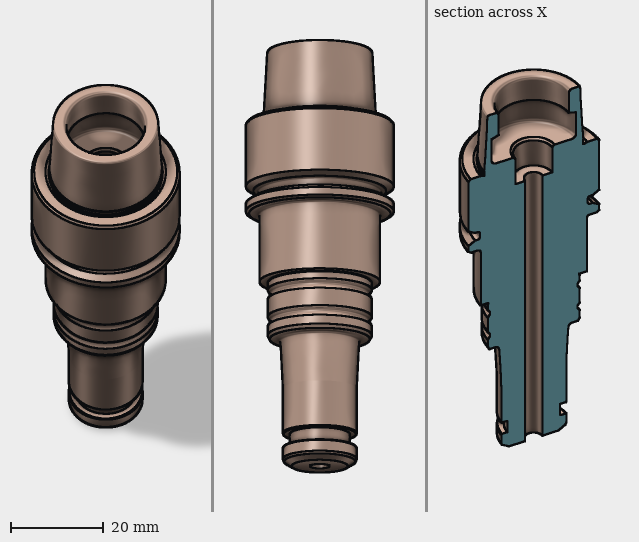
import cadquery as cq
import math

total_height = 92.0
nose_cone_top = 1.0
nose_bevel_top = 1.6
clip_groove_bottom = 4.1
clip_groove_top = 7.1
taper_neck_bottom = 17.1
seal_body_bottom = 28.15
seal_body_top = 40.85
rim_bottom = 56.5
rim_top = 58.1
collar_bottom = 62.0
collar_top = 76.2
shank_taper_bottom = 77.1

nose_tip_diameter = 12.1
stem_diameter = 16.0
clip_groove_diameter = 13.0
neck_top_diameter = 17.0
seal_body_diameter = 22.5
barrel_diameter = 26.0
v_groove_diameter = 26.5
v_flank_foot_diameter = 28.7
collar_diameter = 32.0
shank_base_diameter = 24.1
shank_taper_base_diameter = 24.4
shank_top_diameter = 22.8

nose_bevel_width = 0.3
clip_groove_edge_break = 0.2
neck_fillet = 0.8
seal_lower_chamfer_width = 0.5
seal_lower_chamfer_height = 0.8
seal_upper_chamfer = 0.3
v_flank_angle = 30.0
v_root_fillet = 0.5
rim_lower_chamfer_width = 0.7
rim_lower_chamfer_height = 0.5
rim_fillet = 0.6
collar_chamfer = 0.55
shank_top_round = 0.55
shank_base_step_height = 0.4

seal_groove_heights = [32.0, 38.0]
seal_groove_width = 2.1
seal_groove_depth = 0.55
seal_groove_flank_width = 0.5
seal_groove_flank_depth = 0.3

face_recess_diameter = 26.0
face_recess_floor_diameter = 24.7
face_recess_depth = 0.3

bore_diameter = 17.0
bore_lip_round = 1.0
bore_entry_depth = 6.35
undercut_diameter = 20.5
undercut_lead = 0.55
bore_depth = 13.7
bore_floor_fillet = 1.0
tube_seat_diameter = 8.9
tube_seat_chamfer_diameter = 10.0
tube_seat_depth = 7.4
through_hole_diameter = 4.2


def revolve(profile):
    """Revolve a closed (radius, height) profile about the Z axis."""
    return profile.close().revolve(360, (0, 0, 0), (0, 1, 0))


def outer_body():
    stem = stem_diameter / 2
    neck = neck_top_diameter / 2
    seal = seal_body_diameter / 2
    barrel = barrel_diameter / 2
    collar = collar_diameter / 2
    v_root = v_groove_diameter / 2
    shank_top = shank_top_diameter / 2
    v_flank_foot = v_flank_foot_diameter / 2
    v_flank_height = (collar - v_flank_foot) * math.tan(math.radians(v_flank_angle))
    v_lower_wall = rim_top + v_flank_height
    v_upper_wall = collar_bottom - v_flank_height
    rim_underside = rim_bottom - rim_lower_chamfer_height

    profile = (
        cq.Workplane("XZ")
        .moveTo(0, 0)
        .lineTo(nose_tip_diameter / 2, 0)
        .lineTo(stem - nose_bevel_width, nose_cone_top)
        .lineTo(stem, nose_bevel_top)
        .lineTo(stem, clip_groove_bottom - clip_groove_edge_break)
        .lineTo(stem - clip_groove_edge_break, clip_groove_bottom)
        .lineTo(clip_groove_diameter / 2, clip_groove_bottom)
        .lineTo(clip_groove_diameter / 2, clip_groove_top)
        .lineTo(stem - clip_groove_edge_break, clip_groove_top)
        .lineTo(stem, clip_groove_top + clip_groove_edge_break)
        .lineTo(stem, taper_neck_bottom)
        .lineTo(neck, seal_body_bottom - neck_fillet)
        .radiusArc((neck + neck_fillet, seal_body_bottom), neck_fillet)
        .lineTo(seal - seal_lower_chamfer_width, seal_body_bottom)
        .lineTo(seal, seal_body_bottom + seal_lower_chamfer_height)
        .lineTo(seal, seal_body_top - seal_upper_chamfer)
        .lineTo(seal - seal_upper_chamfer, seal_body_top)
        .lineTo(barrel, seal_body_top)
        .lineTo(barrel, rim_underside - rim_fillet)
        .radiusArc((barrel + rim_fillet, rim_underside), rim_fillet)
        .lineTo(collar - rim_lower_chamfer_width, rim_underside)
        .lineTo(collar, rim_bottom)
        .lineTo(collar, rim_top)
        .lineTo(v_flank_foot, v_lower_wall)
        .lineTo(v_root + v_root_fillet, v_lower_wall)
        .radiusArc((v_root, v_lower_wall + v_root_fillet), v_root_fillet)
        .lineTo(v_root, v_upper_wall - v_root_fillet)
        .radiusArc((v_root + v_root_fillet, v_upper_wall), v_root_fillet)
        .lineTo(v_flank_foot, v_upper_wall)
        .lineTo(collar, collar_bottom)
        .lineTo(collar, collar_top - collar_chamfer)
        .lineTo(collar - collar_chamfer, collar_top)
        .lineTo(face_recess_diameter / 2, collar_top)
        .lineTo(face_recess_floor_diameter / 2, collar_top - face_recess_depth)
        .lineTo(shank_base_diameter / 2, collar_top - face_recess_depth)
        .lineTo(shank_base_diameter / 2, shank_taper_bottom - shank_base_step_height)
        .lineTo(shank_taper_base_diameter / 2, shank_taper_bottom)
        .lineTo(shank_top, total_height - shank_top_round)
        .radiusArc((shank_top - shank_top_round, total_height), -shank_top_round)
        .lineTo(0, total_height)
    )
    return revolve(profile)


def seal_groove(center_height):
    """Ring cutter: two sloped flanks joined by a shallow rounded root."""
    seal = seal_body_diameter / 2
    half_width = seal_groove_width / 2
    root_half_width = half_width - seal_groove_flank_width
    flank_radius = seal - seal_groove_flank_depth
    profile = (
        cq.Workplane("XZ")
        .moveTo(seal, center_height - half_width)
        .lineTo(flank_radius, center_height - root_half_width)
        .threePointArc(
            (seal - seal_groove_depth, center_height),
            (flank_radius, center_height + root_half_width),
        )
        .lineTo(seal, center_height + half_width)
    )
    return revolve(profile)


def bore():
    """Cutter for the rounded mouth, undercut bore, tube seat and through hole."""
    entry = bore_diameter / 2
    undercut = undercut_diameter / 2
    seat = tube_seat_diameter / 2
    seat_mouth = tube_seat_chamfer_diameter / 2
    through = through_hole_diameter / 2
    floor_height = total_height - bore_depth
    entry_bottom = total_height - bore_entry_depth
    profile = (
        cq.Workplane("XZ")
        .moveTo(0, 0)
        .lineTo(through, 0)
        .lineTo(through, floor_height - tube_seat_depth)
        .lineTo(seat, floor_height - tube_seat_depth)
        .lineTo(seat, floor_height - (seat_mouth - seat))
        .lineTo(seat_mouth, floor_height)
        .lineTo(undercut - bore_floor_fillet, floor_height)
        .radiusArc((undercut, floor_height + bore_floor_fillet), -bore_floor_fillet)
        .lineTo(undercut, entry_bottom - undercut_lead)
        .lineTo(entry, entry_bottom)
        .lineTo(entry, total_height - bore_lip_round)
        .radiusArc((entry + bore_lip_round, total_height), bore_lip_round)
        .lineTo(0, total_height)
    )
    return revolve(profile)


result = outer_body()
for groove_height in seal_groove_heights:
    result = result.cut(seal_groove(groove_height))
result = result.cut(bore())